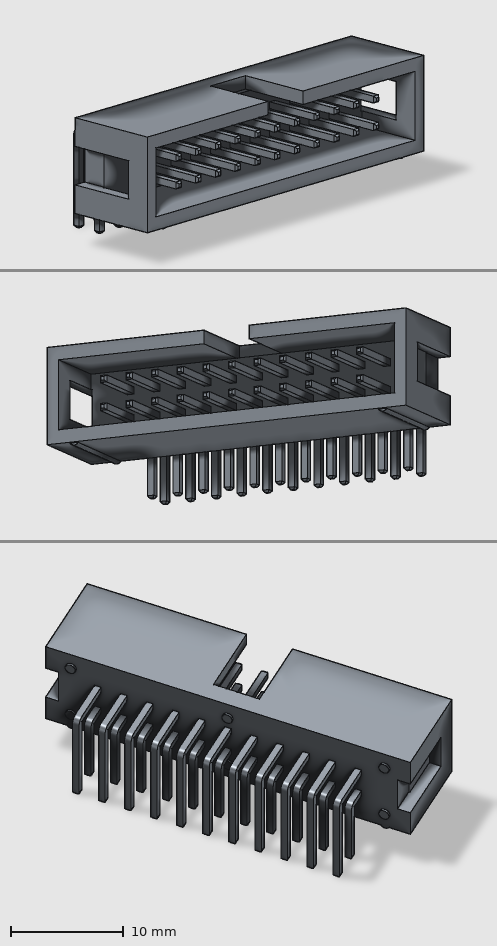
import cadquery as cq
import math


body_length = 35.6
body_depth = 8.85
body_height = 8.85
body_mid_z = body_height / 2

cavity_floor_x = 2.4
side_wall = 1.25
end_wall = 1.15

window_height = 3.55
window_end_x = 6.55
window_depth = 1.25

notch_width = 4.5
notch_start_x = 1.8

pins_per_row = 11
row_length = 25.42
pitch = row_length / (pins_per_row - 1)
pin_width = 0.65
pin_reach = 4.7
pin_drop = 3.25
pin_end_x = 8.05
tip_length = 0.2
tip_width = 0.32

standoff_diameter = 1.0
standoff_height = 0.2
standoff_y = 15.3
standoff_z = 2.85
rib_length = 8.5
rib_drop = 0.2


def box(x_range, y_range, z_range):
    """Box given by its limits along each axis."""
    sizes = [high - low for low, high in (x_range, y_range, z_range)]
    corner = (x_range[0], y_range[0], z_range[0])
    return cq.Workplane("XY").box(*sizes, centered=False).translate(corner)


def cylinder_along_x(diameter, x_start, length, y, z):
    """Cylinder parallel to X."""
    plane = cq.Workplane("YZ", origin=(x_start, y, z))
    return plane.circle(diameter / 2).extrude(length)


def make_housing():
    """Block with its cavity, end windows and polarising notch."""
    half_length = body_length / 2
    cavity_half = half_length - end_wall
    housing = box((0, body_depth), (-half_length, half_length), (0, body_height))
    housing = housing.cut(box(
        (cavity_floor_x, body_depth),
        (-cavity_half, cavity_half),
        (side_wall, body_height - side_wall),
    ))
    window_z = (body_mid_z - window_height / 2, body_mid_z + window_height / 2)
    for y_range in (
        (-half_length, -half_length + window_depth),
        (half_length - window_depth, half_length),
    ):
        housing = housing.cut(box((0, window_end_x), y_range, window_z))
    return housing.cut(box(
        (notch_start_x, body_depth),
        (-notch_width / 2, notch_width / 2),
        (body_height - side_wall, body_height),
    ))


def make_tip(origin, direction):
    """Tapered square pin end that starts at origin and points along direction."""
    plane = cq.Plane(origin=origin, xDir=(0, 1, 0), normal=direction)
    base = cq.Workplane(plane).rect(pin_width, pin_width)
    return base.workplane(offset=tip_length).rect(tip_width, tip_width).loft()


def make_pin(leg_x, row_z):
    """Bent pin at Y = 0; leg_x and row_z are the centrelines of its two legs."""
    half = pin_width / 2
    bend_radius = pin_width
    inner_x = leg_x + half
    inner_z = row_z - half
    arc_offset = bend_radius / math.sqrt(2)
    contact_end = pin_end_x - tip_length
    leg_end = tip_length - pin_drop
    shank = (
        cq.Workplane("XZ", origin=(0, half, 0))
        .moveTo(contact_end, row_z + half)
        .lineTo(inner_x, row_z + half)
        .threePointArc((inner_x - arc_offset, inner_z + arc_offset), (leg_x - half, inner_z))
        .lineTo(leg_x - half, leg_end)
        .lineTo(inner_x, leg_end)
        .lineTo(inner_x, inner_z)
        .lineTo(contact_end, inner_z)
        .close()
        .extrude(pin_width)
    )
    contact_tip = make_tip((contact_end, 0, row_z), (1, 0, 0))
    leg_tip = make_tip((leg_x, 0, leg_end), (0, 0, -1))
    return shank.union(contact_tip).union(leg_tip)


result = make_housing()

for y in (-standoff_y, 0, standoff_y):
    for z in (body_mid_z - standoff_z, body_mid_z + standoff_z):
        standoff = cylinder_along_x(
            standoff_diameter, -standoff_height, standoff_height + cavity_floor_x / 2, y, z
        )
        result = result.union(standoff)

rib_z = standoff_diameter / 2 - rib_drop
for y in (-standoff_y, standoff_y):
    result = result.union(cylinder_along_x(standoff_diameter, 0, rib_length, y, rib_z))

upper_leg_x = pin_width / 2 - pin_reach
upper_pin = make_pin(upper_leg_x, body_mid_z + pitch / 2)
lower_pin = make_pin(upper_leg_x + pitch, body_mid_z - pitch / 2)
for index in range(pins_per_row):
    pin_y = index * pitch - row_length / 2
    for pin in (upper_pin, lower_pin):
        result = result.union(pin.translate((0, pin_y, 0)))